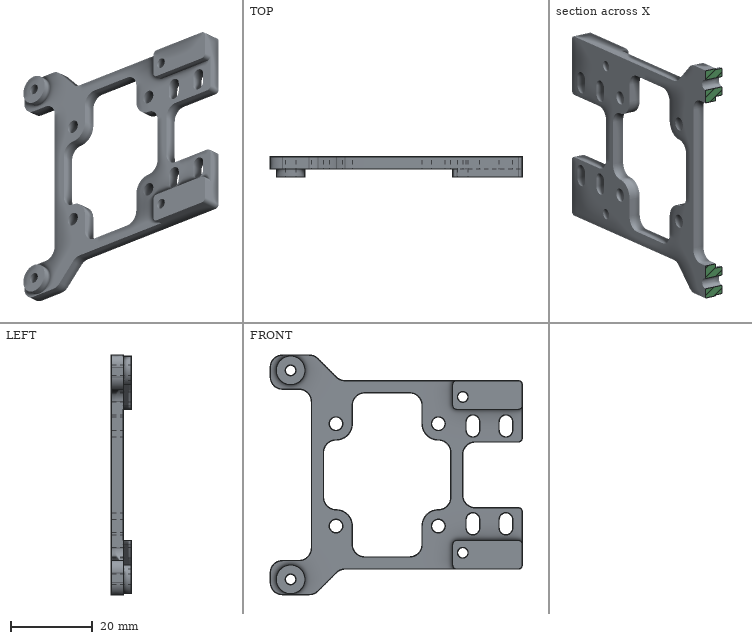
import cadquery as cq
import math

length = 61.5
overall_height = 58.5
overall_depth = 5.0
plate_thickness = 3.0
corner_radius = 3.0
end_radius = 1.0

frame_height = 46.0
rail_width = 3.0
left_rail_x = 10.0
ear_height = 8.35
slope_start_x = 10.75
right_rail_end_x = 47.0
notch_height = 16.0

mount_pitch = 24.95
mount_hole_diameter = 3.25
mount_pad_radius = 4.0
window_left_x = left_rail_x + rail_width
mount_left_x = window_left_x + corner_radius
mount_right_x = mount_left_x + mount_pitch

boss_x = 5.0
boss_pitch = 51.0
boss_diameter = 7.0
screw_hole_diameter = 2.5

block_length = 17.0
block_height = 7.0
block_hole_x = 47.0
block_hole_pitch = 38.0

slot_x_positions = (49.45, 57.5)
slot_pitch = 23.85
slot_length = 5.35
slot_width = 3.25


def with_mirror_below(upper_corners):
    """Complete an outline that is symmetric about Z = 0."""
    return upper_corners + [(x, -z, radius) for x, z, radius in reversed(upper_corners)]


def toward(start, end, distance):
    """Point at a distance from start along the line to end."""
    fraction = distance / math.dist(start, end)
    return tuple(s + fraction * (e - s) for s, e in zip(start, end))


def rounded_corner(before, corner, after, radius):
    """Start, middle and end of the arc that rounds one corner."""
    angle_in = math.atan2(before[1] - corner[1], before[0] - corner[0])
    angle_out = math.atan2(after[1] - corner[1], after[0] - corner[0])
    half_angle = math.acos(math.cos(angle_in - angle_out)) / 2
    tangent_length = radius / math.tan(half_angle)
    start = toward(corner, before, tangent_length)
    end = toward(corner, after, tangent_length)
    chord_middle = tuple((s + e) / 2 for s, e in zip(start, end))
    middle = toward(corner, chord_middle, radius / math.sin(half_angle) - radius)
    return start, middle, end


def rounded_prism(corners, thickness):
    """Extrude a polygon of (x, z, corner radius) from Y = 0 toward -Y."""
    shortest_edge = 0.0005
    points = [(x, z) for x, z, _ in corners]
    count = len(points)
    arcs = [
        rounded_corner(points[i - 1], points[i], points[(i + 1) % count], corners[i][2])
        for i in range(count)
    ]
    outline = cq.Workplane("XZ").moveTo(*arcs[-1][2])
    previous_end = arcs[-1][2]
    for start, middle, end in arcs:
        if math.dist(previous_end, start) > shortest_edge:
            outline = outline.lineTo(*start)
        outline = outline.threePointArc(middle, end)
        previous_end = end
    return outline.close().extrude(thickness)


def make_plate():
    top = overall_height / 2
    frame_top = frame_height / 2
    ear_bottom = top - ear_height
    slope_end_x = slope_start_x + top - frame_top
    notch_top = notch_height / 2
    return rounded_prism(with_mirror_below([
        (left_rail_x, ear_bottom, corner_radius),
        (0, ear_bottom, corner_radius),
        (0, top, corner_radius),
        (slope_start_x, top, corner_radius),
        (slope_end_x, frame_top, corner_radius),
        (length, frame_top, end_radius),
        (length, notch_top, end_radius),
        (right_rail_end_x, notch_top, corner_radius),
    ]), plate_thickness)


def make_window():
    window_top = frame_height / 2 - rail_width
    pad_bottom = mount_pitch / 2 - mount_pad_radius
    pad_left_edge = mount_left_x + mount_pad_radius
    pad_right_edge = mount_right_x - mount_pad_radius
    window_right_x = mount_right_x + corner_radius
    return rounded_prism(with_mirror_below([
        (window_left_x, pad_bottom, corner_radius),
        (pad_left_edge, pad_bottom, mount_pad_radius),
        (pad_left_edge, window_top, corner_radius),
        (pad_right_edge, window_top, corner_radius),
        (pad_right_edge, pad_bottom, mount_pad_radius),
        (window_right_x, pad_bottom, corner_radius),
    ]), plate_thickness)


def make_block(side):
    block_z = side * (frame_height - block_height) / 2
    return (
        cq.Workplane("XZ")
        .center(length - block_length / 2, block_z)
        .rect(block_length, block_height)
        .extrude(overall_depth)
        .edges("|Y")
        .fillet(end_radius)
    )


def make_cylinders(centers, diameter):
    return cq.Workplane("XZ").pushPoints(centers).circle(diameter / 2).extrude(overall_depth)


def make_slots():
    centers = [(x, side * slot_pitch / 2) for x in slot_x_positions for side in (-1, 1)]
    return (
        cq.Workplane("XZ")
        .pushPoints(centers)
        .slot2D(slot_length, slot_width, 90)
        .extrude(overall_depth)
    )


boss_centers = [(boss_x, side * boss_pitch / 2) for side in (-1, 1)]
block_hole_centers = [(block_hole_x, side * block_hole_pitch / 2) for side in (-1, 1)]
mount_centers = [
    (x, side * mount_pitch / 2) for x in (mount_left_x, mount_right_x) for side in (-1, 1)
]

result = make_plate().cut(make_window())
for side in (-1, 1):
    result = result.union(make_block(side))
result = result.union(make_cylinders(boss_centers, boss_diameter))
result = result.cut(make_cylinders(boss_centers + block_hole_centers, screw_hole_diameter))
result = result.cut(make_cylinders(mount_centers, mount_hole_diameter))
result = result.cut(make_slots())